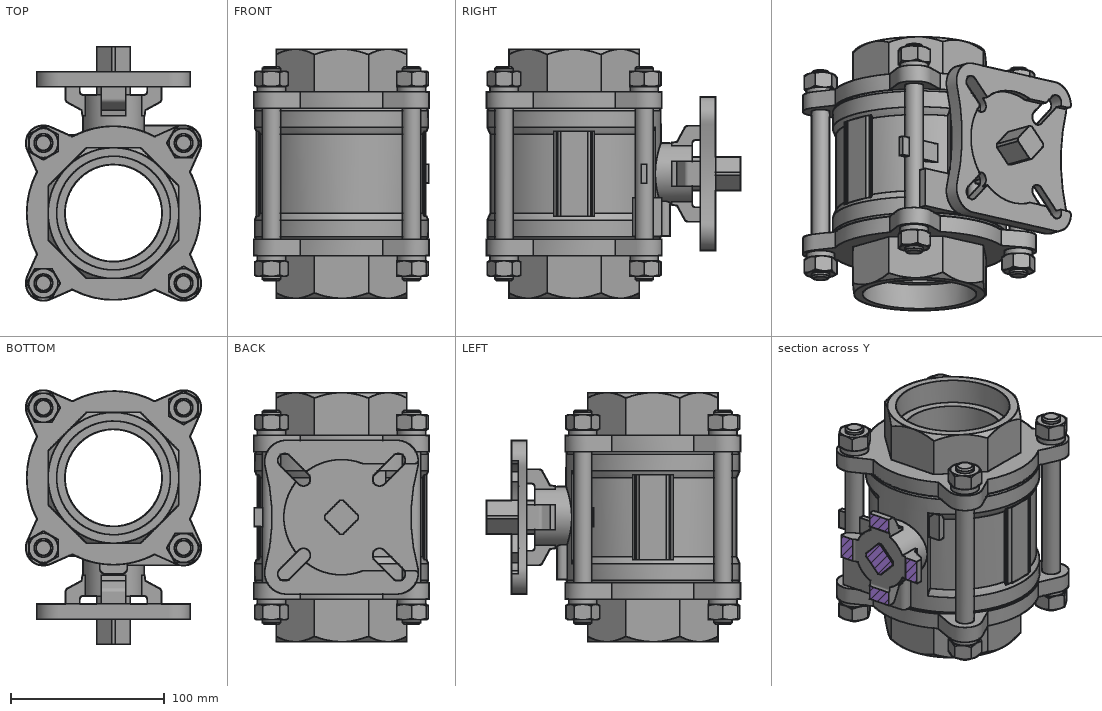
import math
import cadquery as cq


LENGTH = 162.0
CAP_ACROSS_FLATS = 85.0
CAP_SIDES = 8
CAP_CHAMFER_ANGLE = 45.0
BORE_DIAMETER = 63.0
SOCKET_DIAMETER = 74.0
SOCKET_DEPTH = 16.0
FLANGE_DIAMETER = 113.0
FLANGE_INNER_Z = 42.5
FLANGE_OUTER_Z = 53.2
LUG_RADIUS = 11.5
LUG_OFFSET = 114.17 / 2 - LUG_RADIUS
LUG_ROOT_ANGLE = 28.2

BOLT_DIAMETER = 12.0
BOLT_END_Z = 69.5
BOLT_CHAMFER = 1.2
WASHER_DIAMETER = 18.5
WASHER_THICKNESS = 3.5
NUT_ACROSS_FLATS = 19.0
NUT_HEIGHT = 10.0
NUT_SIDES = 6
NUT_TURN = 180 / NUT_SIDES
NUT_CHAMFER_ANGLE = 30.0

BODY_RADIUS = 54.4
FRAME_RADIUS = 55.4
BAND_INNER_Z = 30.2
BAND_OUTER_Z = 40.9
GAP_RADIUS = 55.7
PANEL_HALF_HEIGHT = 25.6
FRAME_EDGE_Z = 27.6
SIDE_FRAME_WIDTH = 26.2
SIDE_GROOVE_WIDTH = 23.4
SIDE_GROOVE_X = 53.5
SIDE_PAD_WIDTH = 17.6
SIDE_PAD_BASE_WIDTH = 21.4
LEFT_PAD_X = 55.5
RIGHT_PAD_X = 54.8

SADDLE_WIDTH = 41.0
SHELF_X = -28.7
SHELF_Y = 51.0
SHELF_BOTTOM_Z = 12.0
RIB_HEIGHT = 12.4
RIB_END_X = 56.9
RIB_THICKNESS = 3.6
NIB_END_X = -38.7
NIB_BOTTOM_Y = 38.4
NIB_TOP_Y = 39.4
STOP_ROOT_Y = 38.0
STOP_BOTTOM_Z = -40.6
STOP_TOP_Z = -15.5
STOP_LEDGE_Y = 57.0
STOP_LEDGE_X = 46.0
STOP_TAB_Y = 62.5
STOP_TAB_WIDTH = 18.0
STOP_TAB_ROUND = 3.8

NECK_DIAMETER = 40.0
NECK_TOP_Y = 76.9
NECK_ROOT_Y = 40.0
STEM_END_Y = 165.36 - 114.17 / 2
STEM_ACROSS_FLATS = 17.0
STEM_DIAMETER = 22.0
ARM_WIDTH = 16.0
ARM_OUTER_RADIUS = 31.3
ARM_INNER_RADIUS = 21.8
ARM_ROOT_RADIUS = 20.3
ARM_ROOT_Y = 63.4
ARM_KNEE_Y = 72.6
ARM_WAIST_RADIUS = 20.8
ARM_WAIST_Y = 66.9
ARM_KNEE_ROUND = 3.0
ARM_WINDOW_ROUND = 2.0

PLATE_SIZE = 100.0
PLATE_BOTTOM_Y = 82.0
PLATE_THICKNESS = 10.0
PLATE_CORNER_RADIUS = 14.0
WAIST_DEPTH = 4.8
WAIST_HALF_HEIGHT = 32.4
SLOT_WIDTH = 9.0
SLOT_START_ANGLE = 45
SLOT_INNER_CIRCLE = 70.0
SLOT_OUTER_CIRCLE = 104.5
RECESS_DEPTH = 4.5
RECESS_DIAMETER = 75.0
RECESS_MOUTH_HALF_HEIGHT = 34.8
RECESS_MOUTH_ROUND = 2.4

PLATE_TOP_Y = PLATE_BOTTOM_Y + PLATE_THICKNESS
QUARTER_TURNS = (0, 90, 180, 270)


def tube_section(points):
    """Solid of revolution about Z from (radius, z) points."""
    return cq.Workplane("XZ").polyline(points).close().revolve(360, (0, 0, 0), (0, 1, 0))


def block(x_range, y_range, z_range):
    """Box between the given limits."""
    size = [high - low for low, high in (x_range, y_range, z_range)]
    corner = (x_range[0], y_range[0], z_range[0])
    return cq.Workplane("XY").box(*size, centered=False).translate(corner)


def lug_outline():
    """Points of a lug web: flange root points and the tangent points on the lug round."""
    flange_radius = FLANGE_DIAMETER / 2
    root = math.radians(LUG_ROOT_ANGLE)
    root_x = flange_radius * math.cos(root)
    root_y = flange_radius * math.sin(root)
    to_root = math.atan2(root_y - LUG_OFFSET, root_x - LUG_OFFSET)
    distance = math.hypot(root_x - LUG_OFFSET, root_y - LUG_OFFSET)
    tangent_angle = to_root + math.acos(LUG_RADIUS / distance)
    tangent_x = LUG_OFFSET + LUG_RADIUS * math.cos(tangent_angle)
    tangent_y = LUG_OFFSET + LUG_RADIUS * math.sin(tangent_angle)
    return [(0, 0), (root_x, root_y), (tangent_x, tangent_y), (tangent_y, tangent_x), (root_y, root_x)]


def make_end_cap():
    """Upper end cap: octagon with turned corners on a four-lugged flange."""
    thickness = FLANGE_OUTER_Z - FLANGE_INNER_Z
    base = cq.Workplane("XY", origin=(0, 0, FLANGE_INNER_Z))
    cap = base.circle(FLANGE_DIAMETER / 2).extrude(thickness)
    web = base.polyline(lug_outline()).close().extrude(thickness)
    lug = web.union(base.center(LUG_OFFSET, LUG_OFFSET).circle(LUG_RADIUS).extrude(thickness))
    for turn in QUARTER_TURNS:
        cap = cap.union(lug.rotate((0, 0, 0), (0, 0, 1), turn))

    end_z = LENGTH / 2
    flat_radius = CAP_ACROSS_FLATS / 2
    corner_radius = flat_radius / math.cos(math.pi / CAP_SIDES)
    corner_drop = (corner_radius - flat_radius) * math.tan(math.radians(CAP_CHAMFER_ANGLE))
    octagon = (
        cq.Workplane("XY", origin=(0, 0, FLANGE_INNER_Z))
        .polygon(CAP_SIDES, 2 * corner_radius)
        .extrude(end_z - FLANGE_INNER_Z)
        .rotate((0, 0, 0), (0, 0, 1), 180 / CAP_SIDES)
    )
    turned = tube_section([
        (0, FLANGE_INNER_Z),
        (corner_radius, FLANGE_INNER_Z),
        (corner_radius, end_z - corner_drop),
        (flat_radius, end_z),
        (0, end_z),
    ])
    return cap.union(octagon.intersect(turned))


def make_nut():
    """Hex nut on the XY plane, chamfered at both ends, flats facing X."""
    flat_radius = NUT_ACROSS_FLATS / 2
    corner_radius = flat_radius / math.cos(math.pi / NUT_SIDES)
    drop = (corner_radius - flat_radius) * math.tan(math.radians(NUT_CHAMFER_ANGLE))
    hexagon = cq.Workplane("XY").polygon(NUT_SIDES, 2 * corner_radius).extrude(NUT_HEIGHT)
    turned = tube_section([
        (0, 0),
        (flat_radius, 0),
        (corner_radius, drop),
        (corner_radius, NUT_HEIGHT - drop),
        (flat_radius, NUT_HEIGHT),
        (0, NUT_HEIGHT),
    ])
    return hexagon.rotate((0, 0, 0), (0, 0, 1), NUT_TURN).intersect(turned)


def make_tie_bolt():
    """Bolt in the (+X, +Y) lugs with a washer and nut at each end."""
    bolt = (
        cq.Workplane("XY", origin=(0, 0, -BOLT_END_Z))
        .circle(BOLT_DIAMETER / 2)
        .extrude(2 * BOLT_END_Z)
        .faces("<Z or >Z")
        .chamfer(BOLT_CHAMFER)
    )
    washer = (
        cq.Workplane("XY", origin=(0, 0, FLANGE_OUTER_Z))
        .circle(WASHER_DIAMETER / 2)
        .extrude(WASHER_THICKNESS)
    )
    nut = make_nut().translate((0, 0, FLANGE_OUTER_Z + WASHER_THICKNESS))
    fastener = washer.union(nut)
    bolt = bolt.union(fastener).union(fastener.mirror("XY"))
    return bolt.rotate((0, 0, 0), (0, 0, 1), 90).translate((LUG_OFFSET, LUG_OFFSET, 0))


def make_turned_body():
    """Turned centre body with two raised bands."""
    band_radius = FLANGE_DIAMETER / 2
    half = tube_section([
        (0, 0),
        (BODY_RADIUS, 0),
        (BODY_RADIUS, PANEL_HALF_HEIGHT),
        (FRAME_RADIUS, FRAME_EDGE_Z),
        (band_radius, BAND_INNER_Z),
        (band_radius, BAND_OUTER_Z),
        (GAP_RADIUS, FLANGE_INNER_Z),
        (0, FLANGE_INNER_Z),
    ])
    return half.union(half.mirror("XY"))


def add_side_panel(body, pad_x):
    """Framed flat pad with sloped sides on the +X side of the body."""
    z_range = (-FRAME_EDGE_Z, FRAME_EDGE_Z)
    frame_half = SIDE_FRAME_WIDTH / 2
    groove_half = SIDE_GROOVE_WIDTH / 2
    frame = block((0, FRAME_RADIUS), (-frame_half, frame_half), z_range)
    frame = frame.intersect(cq.Workplane("XY").circle(FRAME_RADIUS).extrude(FRAME_EDGE_Z, both=True))
    groove = block((SIDE_GROOVE_X, FRAME_RADIUS), (-groove_half, groove_half), z_range)
    pad = (
        cq.Workplane("XY", origin=(0, 0, -FRAME_EDGE_Z))
        .moveTo(0, -SIDE_PAD_BASE_WIDTH / 2)
        .lineTo(SIDE_GROOVE_X, -SIDE_PAD_BASE_WIDTH / 2)
        .lineTo(pad_x, -SIDE_PAD_WIDTH / 2)
        .lineTo(pad_x, SIDE_PAD_WIDTH / 2)
        .lineTo(SIDE_GROOVE_X, SIDE_PAD_BASE_WIDTH / 2)
        .lineTo(0, SIDE_PAD_BASE_WIDTH / 2)
        .close()
        .extrude(2 * FRAME_EDGE_Z)
    )
    return body.union(frame).cut(groove).union(pad)


def make_body():
    """Centre body with a framed pad on each X side."""
    body = add_side_panel(make_turned_body(), LEFT_PAD_X)
    return add_side_panel(body.rotate((0, 0, 0), (0, 0, 1), 180), RIGHT_PAD_X)


def make_neck_surround():
    """Saddle under the neck, shelf, rib and nib beside it, and the stop below it."""
    saddle_half = SADDLE_WIDTH / 2
    saddle = cq.Workplane("XY").circle(FLANGE_DIAMETER / 2).extrude(BAND_INNER_Z, both=True)
    saddle = saddle.intersect(block(
        (-saddle_half, saddle_half),
        (0, FLANGE_DIAMETER / 2),
        (-BAND_INNER_Z, BAND_INNER_Z),
    ))
    shelf = block((SHELF_X, 0), (0, SHELF_Y), (SHELF_BOTTOM_Z, BAND_INNER_Z))
    rib_z = (-RIB_HEIGHT / 2, RIB_HEIGHT / 2)
    rib_y = (LUG_OFFSET - RIB_THICKNESS / 2, LUG_OFFSET + RIB_THICKNESS / 2)
    rib = block((0, RIB_END_X), rib_y, rib_z)
    nib = block((NIB_END_X, 0), (NIB_BOTTOM_Y, NIB_TOP_Y), rib_z)
    stop_z = (STOP_BOTTOM_Z, STOP_TOP_Z)
    ledge = block((0, STOP_LEDGE_X), (STOP_ROOT_Y, STOP_LEDGE_Y), stop_z)
    tab_half = STOP_TAB_WIDTH / 2
    tab = block((-tab_half, tab_half), (STOP_ROOT_Y, STOP_TAB_Y), stop_z)
    tab = tab.faces(">Y").edges("|Z").fillet(STOP_TAB_ROUND)
    return saddle.union(shelf).union(rib).union(nib).union(ledge).union(tab)


def cylinder_along_y(diameter, start_y, end_y):
    """Cylinder about the Y axis."""
    plane = cq.Workplane("XZ", origin=(0, end_y, 0))
    return plane.circle(diameter / 2).extrude(end_y - start_y)


def make_arm():
    """Bracket arm toward +X, from the neck up to the mounting plate."""
    arm = (
        cq.Workplane("XY", origin=(0, 0, -ARM_WIDTH / 2))
        .moveTo(0, ARM_ROOT_Y)
        .lineTo(ARM_ROOT_RADIUS, ARM_ROOT_Y)
        .lineTo(ARM_WAIST_RADIUS, ARM_WAIST_Y)
        .lineTo(ARM_OUTER_RADIUS, ARM_KNEE_Y)
        .lineTo(ARM_OUTER_RADIUS, PLATE_BOTTOM_Y)
        .lineTo(ARM_INNER_RADIUS, PLATE_BOTTOM_Y)
        .lineTo(ARM_INNER_RADIUS, NECK_TOP_Y)
        .lineTo(0, NECK_TOP_Y)
        .close()
        .extrude(ARM_WIDTH)
    )
    knee = cq.selectors.NearestToPointSelector((ARM_OUTER_RADIUS, ARM_KNEE_Y, 0))
    arm = arm.edges("|Z").edges(knee).fillet(ARM_KNEE_ROUND)
    window = cq.selectors.NearestToPointSelector((ARM_INNER_RADIUS, NECK_TOP_Y, 0))
    return arm.edges("|Z").edges(window).fillet(ARM_WINDOW_ROUND)


def make_neck_and_stem():
    """Round neck, four arms and the square stem turned 45 degrees."""
    neck = cylinder_along_y(NECK_DIAMETER, NECK_ROOT_Y, NECK_TOP_Y)
    arm = make_arm()
    for turn in QUARTER_TURNS:
        neck = neck.union(arm.rotate((0, 0, 0), (0, 1, 0), turn))
    half_diagonal = STEM_ACROSS_FLATS / math.sqrt(2)
    corners = [(half_diagonal, 0), (0, half_diagonal), (-half_diagonal, 0), (0, -half_diagonal)]
    square = (
        cq.Workplane("XZ", origin=(0, STEM_END_Y, 0))
        .polyline(corners)
        .close()
        .extrude(STEM_END_Y - ARM_ROOT_Y)
    )
    stem = square.intersect(cylinder_along_y(STEM_DIAMETER, ARM_ROOT_Y, STEM_END_Y))
    return neck.union(stem)


def make_plate():
    """Waisted mounting plate with diagonal slots and an outer recess open toward -X."""
    half = PLATE_SIZE / 2
    flat = half - PLATE_CORNER_RADIUS
    corner_mid = flat + PLATE_CORNER_RADIUS / math.sqrt(2)
    waist = half - WAIST_DEPTH
    waist_end_x = flat + math.sqrt(PLATE_CORNER_RADIUS**2 - (flat - WAIST_HALF_HEIGHT) ** 2)
    top = cq.Workplane("XZ", origin=(0, PLATE_TOP_Y, 0))
    plate = (
        top.moveTo(-flat, half)
        .lineTo(flat, half)
        .threePointArc((corner_mid, corner_mid), (waist_end_x, WAIST_HALF_HEIGHT))
        .threePointArc((waist, 0), (waist_end_x, -WAIST_HALF_HEIGHT))
        .threePointArc((corner_mid, -corner_mid), (flat, -half))
        .lineTo(-flat, -half)
        .threePointArc((-corner_mid, -corner_mid), (-waist_end_x, -WAIST_HALF_HEIGHT))
        .threePointArc((-waist, 0), (-waist_end_x, WAIST_HALF_HEIGHT))
        .threePointArc((-corner_mid, corner_mid), (-flat, half))
        .close()
        .extrude(PLATE_THICKNESS)
    )

    recess = cylinder_along_y(RECESS_DIAMETER, PLATE_TOP_Y - RECESS_DEPTH, PLATE_TOP_Y)
    mouth_half = RECESS_MOUTH_HALF_HEIGHT
    throat = half - RECESS_MOUTH_ROUND
    flare = mouth_half + RECESS_MOUTH_ROUND
    flare_offset = RECESS_MOUTH_ROUND * (1 - 1 / math.sqrt(2))
    mouth = (
        top.moveTo(0, mouth_half)
        .lineTo(-throat, mouth_half)
        .threePointArc((flare_offset - half, mouth_half + flare_offset), (-half, flare))
        .lineTo(-half, -flare)
        .threePointArc((flare_offset - half, -mouth_half - flare_offset), (-throat, -mouth_half))
        .lineTo(0, -mouth_half)
        .close()
        .extrude(RECESS_DEPTH)
    )
    plate = plate.cut(recess).cut(mouth)

    slot_mid = (SLOT_INNER_CIRCLE + SLOT_OUTER_CIRCLE) / 4
    slot_length = (SLOT_OUTER_CIRCLE - SLOT_INNER_CIRCLE) / 2 + SLOT_WIDTH
    slots = (
        top.polarArray(slot_mid, SLOT_START_ANGLE, 360, len(QUARTER_TURNS))
        .slot2D(slot_length, SLOT_WIDTH)
        .extrude(PLATE_THICKNESS)
    )
    return plate.cut(slots)


def make_valve():
    """Join all parts, then open the flow bore and the end sockets."""
    cap = make_end_cap()
    valve = make_body().union(cap).union(cap.mirror("XY"))
    bolt = make_tie_bolt()
    for turn in QUARTER_TURNS:
        valve = valve.union(bolt.rotate((0, 0, 0), (0, 0, 1), turn))
    valve = valve.union(make_neck_surround()).union(make_neck_and_stem()).union(make_plate())

    bottom = cq.Workplane("XY", origin=(0, 0, -LENGTH / 2))
    socket = bottom.circle(SOCKET_DIAMETER / 2).extrude(SOCKET_DEPTH)
    valve = valve.cut(bottom.circle(BORE_DIAMETER / 2).extrude(LENGTH))
    return valve.cut(socket).cut(socket.mirror("XY"))


result = make_valve()